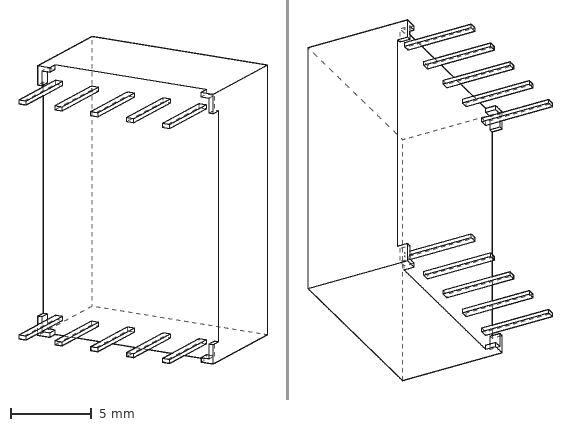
import cadquery as cq

width = 12.4
depth = 11.0
height = 17.5

body_depth = 6.3
standoff_height = 0.7
standoff_wall = 0.3
standoff_leg_x = 0.85
standoff_leg_z = 1.26

pins_per_row = 5
pin_pitch = 2.54
row_spacing = 15.25
pin_width = 0.5
pin_thickness = 0.26
pin_length = depth - body_depth

back_y = depth / 2
pin_face_y = back_y - body_depth


def make_body():
    return cq.Workplane("XY").box(width, body_depth, height).translate((0, back_y - body_depth / 2, 0))


def bar_from_pin_face(x, z, size_x, size_z, length):
    """Rectangular bar centred on (x, z) that rises from the pin face toward -Y."""
    return (
        cq.Workplane("XZ", origin=(0, pin_face_y, 0))
        .center(x, z)
        .rect(size_x, size_z)
        .extrude(length)
    )


def make_standoff(side_x, side_z):
    """L-shaped standoff in the corner given by the signs of X and Z."""
    leg_along_x = bar_from_pin_face(
        side_x * (width - standoff_leg_x) / 2,
        side_z * (height - standoff_wall) / 2,
        standoff_leg_x,
        standoff_wall,
        standoff_height,
    )
    leg_along_z = bar_from_pin_face(
        side_x * (width - standoff_wall) / 2,
        side_z * (height - standoff_leg_z) / 2,
        standoff_wall,
        standoff_leg_z,
        standoff_height,
    )
    return leg_along_x.union(leg_along_z)


def make_pin_row(z):
    row = cq.Workplane("XZ")
    first_x = -pin_pitch * (pins_per_row - 1) / 2
    for index in range(pins_per_row):
        x = first_x + index * pin_pitch
        row = row.union(bar_from_pin_face(x, z, pin_width, pin_thickness, pin_length))
    return row


result = make_body()
for side_z in (-1, 1):
    result = result.union(make_pin_row(side_z * row_spacing / 2))
    for side_x in (-1, 1):
        result = result.union(make_standoff(side_x, side_z))